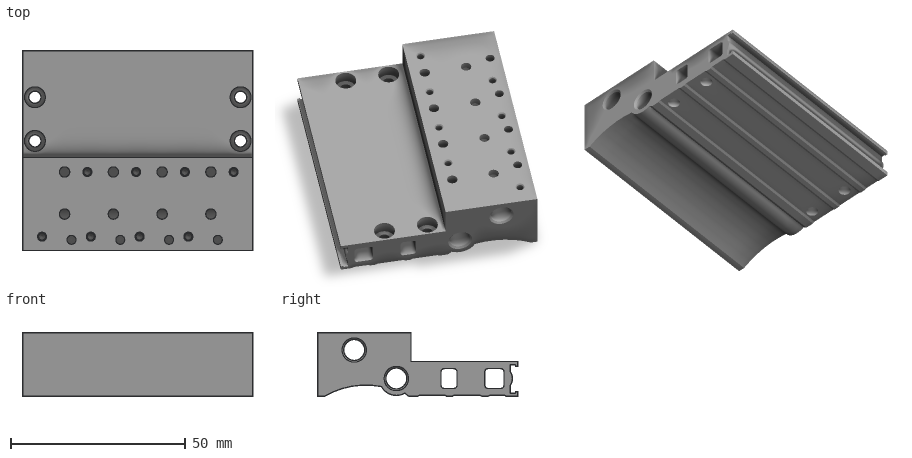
import cadquery as cq
import math

length = 66.0
depth = 57.4
height = 18.3
shelf_height = 10.0
block_depth = 26.8
passage_height = 5.15

channel_depth = 2.1
lip_thickness = 1.0
hook_length = 0.7
hook_drop = 0.4
rib_rise = 0.6
rib_half_height = 1.9

recess_rise = 0.3
recess_slope = 0.65
recess_spans = [(54.2, 48.8), (47.25, 38.55), (37.1, 28.6)]

rib_radius = 4.9
heel_edge = 26.15
heel_slope_end = 25.0
hollow_back = 18.3
hollow_peak = (14.05, 3.25)
hollow_front = 1.9

port_diameter = 5.95
port_chamfer = 0.5
supply_port = (22.6, passage_height)
exhaust_port = (10.5, 13.3)
window_height = 5.6
window_radius = 0.85
windows = [(50.7, 5.4), (37.7, 4.5)]

mount_inset = 3.5
mount_rows = [31.5, 44.0]
mount_diameter = 3.4
counterbore_diameter = 6.0
counterbore_depth = 3.5

station_count = 4
station_pitch = 14.0
valve_port_x = 12.0
valve_port_diameter = 3.0
supply_passage_depth = 9.9
pin_hole = (14.0, 3.1)
pin_diameter = 2.6
pin_depth = 3.95
screw_holes = [(18.55, supply_port[0]), (5.55, 4.0)]
screw_diameter = 2.0
screw_mouth_diameter = 2.6
screw_depth = 5.95
drill_point_angle = 118.0


def rib_point(y):
    """Point on the lower half of the round rib below the supply port."""
    centre_y, centre_z = supply_port
    return (y, centre_z - math.sqrt(rib_radius**2 - (y - centre_y) ** 2))


def body():
    """Cross-section in the YZ plane, extruded along the length."""
    channel_floor = depth - channel_depth
    hook_start = depth - hook_length
    lower_lip = lip_thickness
    upper_lip = shelf_height - lip_thickness
    section = (
        cq.Workplane("YZ")
        .moveTo(0, 0)
        .lineTo(0, height)
        .lineTo(block_depth, height)
        .lineTo(block_depth, shelf_height)
        .lineTo(depth, shelf_height)
        .lineTo(depth, upper_lip - hook_drop)
        .lineTo(hook_start, upper_lip - hook_drop)
        .lineTo(hook_start, upper_lip)
        .lineTo(channel_floor, upper_lip)
        .lineTo(channel_floor, passage_height + rib_half_height)
        .threePointArc(
            (channel_floor + rib_rise, passage_height),
            (channel_floor, passage_height - rib_half_height),
        )
        .lineTo(channel_floor, lower_lip)
        .lineTo(hook_start, lower_lip)
        .lineTo(hook_start, lower_lip + hook_drop)
        .lineTo(depth, lower_lip + hook_drop)
        .lineTo(depth, 0)
    )
    for back, front in recess_spans:
        section = (
            section.lineTo(back, 0)
            .lineTo(back - recess_slope, recess_rise)
            .lineTo(front + recess_slope, recess_rise)
            .lineTo(front, 0)
        )
    return (
        section.lineTo(heel_edge, 0)
        .lineTo(*rib_point(heel_slope_end))
        .threePointArc(rib_point(supply_port[0]), rib_point(hollow_back))
        .threePointArc(hollow_peak, (hollow_front, 0))
        .close()
        .extrude(length)
    )


def port(centre):
    """Through port along X with a chamfer at both ends."""
    bore = cq.Workplane("YZ").center(*centre).circle(port_diameter / 2).extrude(length)
    mouth_radius = port_diameter / 2 + port_chamfer
    for x, inward in ((0, 1), (length, -1)):
        axis = cq.Vector(inward, 0, 0)
        mouth = cq.Solid.makeCone(
            mouth_radius, port_diameter / 2, port_chamfer, cq.Vector(x, *centre), axis
        )
        bore = bore.union(cq.Workplane(mouth))
    return bore


def window(centre_y, width):
    """Rounded rectangular passage along X."""
    return (
        cq.Workplane("YZ")
        .center(centre_y, passage_height)
        .rect(width, window_height)
        .extrude(length)
        .edges("|X")
        .fillet(window_radius)
    )


def station_points(first_x, y):
    """One point per valve station, starting at first_x."""
    return [(first_x + i * station_pitch, y) for i in range(station_count)]


def top_holes(points, diameter, hole_depth):
    """Flat-bottomed holes drilled down from the top face."""
    return (
        cq.Workplane("XY", origin=(0, 0, height))
        .pushPoints(points)
        .circle(diameter / 2)
        .extrude(-hole_depth)
    )


def screw_hole(x, y):
    """Countersunk screw hole with a conical drill point."""
    radius = screw_diameter / 2
    mouth_radius = screw_mouth_diameter / 2
    point_length = radius / math.tan(math.radians(drill_point_angle / 2))
    return (
        cq.Workplane("XZ")
        .moveTo(0, 0)
        .lineTo(mouth_radius, 0)
        .lineTo(radius, radius - mouth_radius)
        .lineTo(radius, -screw_depth)
        .lineTo(0, -screw_depth - point_length)
        .close()
        .revolve(360, (0, 0), (0, 1))
        .translate((x, y, height))
    )


result = body()

for centre in (supply_port, exhaust_port):
    result = result.cut(port(centre))
for centre_y, width in windows:
    result = result.cut(window(centre_y, width))

mount_points = [(x, y) for x in (mount_inset, length - mount_inset) for y in mount_rows]
result = (
    result.cut(cq.Workplane("XY").pushPoints(mount_points).circle(mount_diameter / 2).extrude(shelf_height))
    .cut(
        cq.Workplane("XY", origin=(0, 0, shelf_height))
        .pushPoints(mount_points)
        .circle(counterbore_diameter / 2)
        .extrude(-counterbore_depth)
    )
)

supply_passages = station_points(valve_port_x, supply_port[0])
exhaust_passages = station_points(valve_port_x, exhaust_port[0])
pin_points = station_points(*pin_hole)
result = result.cut(top_holes(supply_passages, valve_port_diameter, supply_passage_depth))
result = result.cut(top_holes(exhaust_passages, valve_port_diameter, height - exhaust_port[1]))
result = result.cut(top_holes(pin_points, pin_diameter, pin_depth))
for first_x, row_y in screw_holes:
    for x, y in station_points(first_x, row_y):
        result = result.cut(screw_hole(x, y))